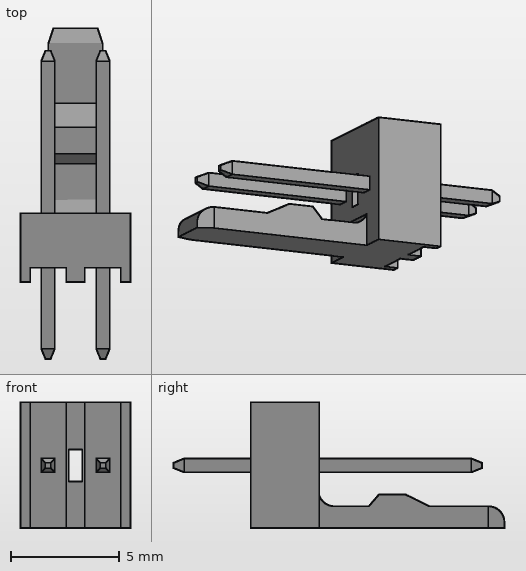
import cadquery as cq
import math

block_width = 5.08
block_height = 5.8
block_front = 3.55
block_back = 6.73
groove_depth = 0.65
side_rib_width = 0.46
center_rib_width = 0.87

window_width = 0.61
window_height = 1.46

middle_z = 2.88

pin_pitch = 2.53
pin_size = 0.64
pin_tip_size = 0.25
pin_length = 14.22
pin_taper = 0.49

latch_width = 2.53
latch_nose_width = 2.05
latch_thickness = 1.0
latch_end = 15.26
latch_nose_length = 0.75
nose_radius = latch_nose_length

root_radius = 0.73
root_length = 0.69
root_rise = root_radius - math.sqrt(root_radius**2 - root_length**2)

bump_top = 1.55
bump_start = 9.0
bump_crest_start = 9.48
bump_crest_end = 10.68
bump_end = 11.8

pin_positions = (-pin_pitch / 2, pin_pitch / 2)


def box(width, y_start, y_end, z_start, z_end, x_center=0):
    """Box spanning the given Y and Z limits, centred on x_center."""
    size = (width, y_end - y_start, z_end - z_start)
    corner = (x_center - width / 2, y_start, z_start)
    return cq.Workplane("XY").box(*size, centered=False).translate(corner)


def make_block():
    block = box(block_width, block_front, block_back, 0, block_height)
    groove_inner = center_rib_width / 2
    groove_outer = block_width / 2 - side_rib_width
    groove_width = groove_outer - groove_inner
    groove_center = (groove_inner + groove_outer) / 2
    for x in (-groove_center, groove_center):
        groove_floor = block_front + groove_depth
        block = block.cut(box(groove_width, block_front, groove_floor, 0, block_height, x))
    window_bottom = middle_z - window_height / 2
    window_top = window_bottom + window_height
    return block.cut(box(window_width, block_front, block_back, window_bottom, window_top))


def make_pin(x):
    """Square pin at the window height, narrowing to a small square at both ends."""
    def square_at(y, size):
        return cq.Workplane("XZ", origin=(x, y, middle_z)).rect(size, size)

    shank_end = pin_length - pin_taper
    shank = square_at(shank_end, pin_size).extrude(shank_end - pin_taper)
    front_tip = square_at(pin_taper, pin_size).workplane(offset=pin_taper)
    front_tip = front_tip.rect(pin_tip_size, pin_tip_size).loft(combine=True)
    back_tip = square_at(shank_end, pin_size).workplane(offset=-pin_taper)
    back_tip = back_tip.rect(pin_tip_size, pin_tip_size).loft(combine=True)
    return shank.union(front_tip).union(back_tip)


def make_latch():
    """Side profile of the tongue, trimmed by an outline that narrows at the nose."""
    nose_start = latch_end - latch_nose_length
    profile = (
        cq.Workplane("YZ", origin=(-latch_width / 2, 0, 0))
        .moveTo(block_back, 0)
        .lineTo(latch_end, 0)
        .lineTo(latch_end, latch_thickness - nose_radius)
        .radiusArc((latch_end - nose_radius, latch_thickness), -nose_radius)
        .lineTo(bump_end, latch_thickness)
        .lineTo(bump_crest_end, bump_top)
        .lineTo(bump_crest_start, bump_top)
        .lineTo(bump_start, latch_thickness)
        .lineTo(block_back + root_length, latch_thickness)
        .radiusArc((block_back, latch_thickness + root_rise), root_radius)
        .close()
        .extrude(latch_width)
    )
    outline = (
        cq.Workplane("XY")
        .polyline([
            (-latch_width / 2, block_back),
            (latch_width / 2, block_back),
            (latch_width / 2, nose_start),
            (latch_nose_width / 2, latch_end),
            (-latch_nose_width / 2, latch_end),
            (-latch_width / 2, nose_start),
        ])
        .close()
        .extrude(block_height)
    )
    return profile.intersect(outline)


result = make_block().union(make_latch())
for pin_x in pin_positions:
    result = result.union(make_pin(pin_x))